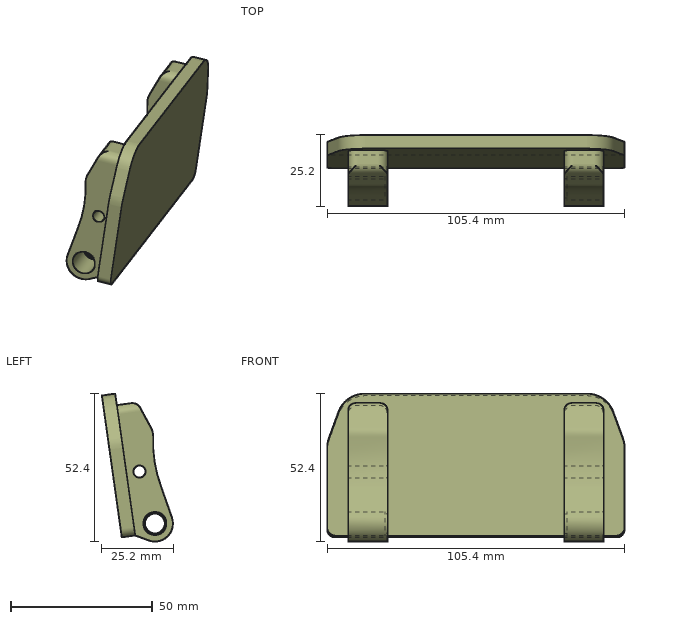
import cadquery as cq
import math

TILT = 8.0
PLATE_WIDTH = 105.4
PLATE_HEIGHT = 50.8
PLATE_THICKNESS = 4.8
SHOULDER_DROP = 17.6
SHOULDER_ANGLE = 20.0
SHOULDER_RADIUS = 10.0
BOTTOM_CORNER_RADIUS = 3.0

ARM_WIDTH = 14.0
ARM_SPACING = 76.5
ARM_TOP = (7.3, 46.7)
KNEE_START = (10.9, 37.1)
KNEE_END = (11.2, 33.6)
WAIST_END = (11.5, 16.0)
ARM_TOP_RADIUS = 3.3

PIVOT_CENTER = (7.5, 3.3)
BOSS_RADIUS = 6.4
PIVOT_RADIUS = 4.1
LIP_RADIUS = 3.5
LIP_THICKNESS = 1.0
PIN_CENTER = (4.6, 22.2)
PIN_RADIUS = 2.1

MARGIN = 0.1


def tangent_point(point, center, radius, side):
    """Touch point on a circle of the tangent from a point; side picks which of the two."""
    dx = point[0] - center[0]
    dy = point[1] - center[1]
    angle = math.atan2(dy, dx) + side * math.acos(radius / math.hypot(dx, dy))
    return (center[0] + radius * math.cos(angle), center[1] + radius * math.sin(angle))


def make_plate():
    half_width = PLATE_WIDTH / 2
    shoulder_height = PLATE_HEIGHT - SHOULDER_DROP
    top_half_width = half_width - SHOULDER_DROP * math.tan(math.radians(SHOULDER_ANGLE))
    outline = [
        (-half_width, 0),
        (half_width, 0),
        (half_width, shoulder_height),
        (top_half_width, PLATE_HEIGHT),
        (-top_half_width, PLATE_HEIGHT),
        (-half_width, shoulder_height),
    ]
    plate = cq.Workplane("XZ").polyline(outline).close().extrude(-PLATE_THICKNESS)
    plate = plate.edges("|Y").edges("<Z").fillet(BOTTOM_CORNER_RADIUS)
    shoulders = cq.selectors.BoxSelector(
        (-PLATE_WIDTH, -PLATE_THICKNESS, shoulder_height - MARGIN),
        (PLATE_WIDTH, 2 * PLATE_THICKNESS, PLATE_HEIGHT + MARGIN),
    )
    return plate.edges("|Y").edges(shoulders).fillet(SHOULDER_RADIUS)


def arm_sketch(x):
    """Workplane across the arm at x; its axes are distance in front of the plate and height."""
    return cq.Workplane(cq.Plane(origin=(x, 0, 0), xDir=(0, -1, 0), normal=(-1, 0, 0)))


def make_left_arm():
    inner_x = (ARM_WIDTH - ARM_SPACING) / 2
    foot = (0, 0)
    root = -PLATE_THICKNESS / 2
    front_touch = tangent_point(WAIST_END, PIVOT_CENTER, BOSS_RADIUS, -1)
    foot_touch = tangent_point(foot, PIVOT_CENTER, BOSS_RADIUS, 1)
    boss_far_angle = math.radians(-45)
    boss_far_point = (
        PIVOT_CENTER[0] + BOSS_RADIUS * math.cos(boss_far_angle),
        PIVOT_CENTER[1] + BOSS_RADIUS * math.sin(boss_far_angle),
    )
    arm = (
        arm_sketch(inner_x)
        .moveTo(root, 0)
        .lineTo(root, ARM_TOP[1])
        .lineTo(*ARM_TOP)
        .lineTo(*KNEE_START)
        .tangentArcPoint(KNEE_END, relative=False)
        .tangentArcPoint(WAIST_END, relative=False)
        .lineTo(*front_touch)
        .threePointArc(boss_far_point, foot_touch)
        .lineTo(*foot)
        .close()
        .extrude(ARM_WIDTH)
    )
    arm = arm.faces(">Z").edges("|Y or <Y").fillet(ARM_TOP_RADIUS)

    lip_hole = arm_sketch(inner_x).center(*PIVOT_CENTER).circle(LIP_RADIUS).extrude(ARM_WIDTH)
    bore = (
        arm_sketch(inner_x - LIP_THICKNESS)
        .center(*PIVOT_CENTER)
        .circle(PIVOT_RADIUS)
        .extrude(ARM_WIDTH - LIP_THICKNESS)
    )
    pin_hole = arm_sketch(inner_x).center(*PIN_CENTER).circle(PIN_RADIUS).extrude(ARM_WIDTH)
    return arm.cut(lip_hole).cut(bore).cut(pin_hole)


left_arm = make_left_arm()
right_arm = left_arm.mirror("YZ")
upright_part = make_plate().union(left_arm).union(right_arm)

result = upright_part.rotate((0, 0, 0), (1, 0, 0), -TILT)